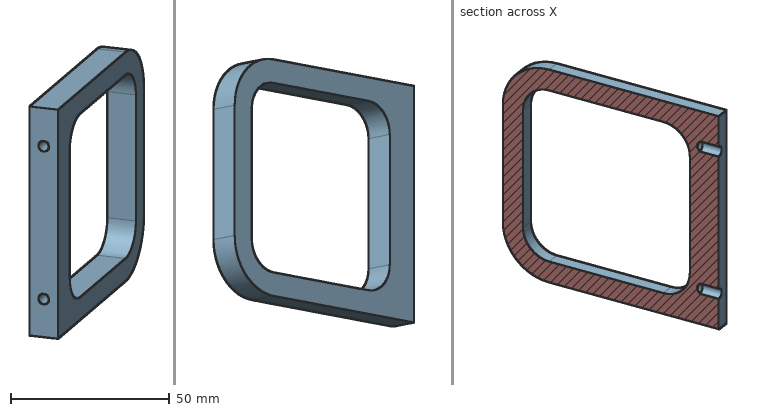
import cadquery as cq
import math

thickness = 9.65
depth = 79.38
height = 76.2
wall = 7.62
window_radius = 9.525
outer_radius = window_radius + wall
window_size = height - 2 * wall
back_y = depth / 2
window_center_y = back_y - wall - window_size / 2

hole_diameter = 3.45
hole_spacing = 50.8
hole_depth = 7.0
taper_angle = 108.0
bottom_flat_diameter = 0.8


def make_plate():
    """Plate with the two back corners rounded."""
    plate = cq.Workplane("XY").box(thickness, depth, height)
    return plate.edges("|X and >Y").fillet(outer_radius)


def make_window():
    """Rounded square opening through the full thickness."""
    window = cq.Workplane("XY").box(2 * thickness, window_size, window_size)
    window = window.edges("|X").fillet(window_radius)
    return window.translate((0, window_center_y, 0))


def make_hole(z):
    """Drilled hole with a tapered, flat-ended bottom, entering the mounting edge at height z."""
    radius = hole_diameter / 2
    flat_radius = bottom_flat_diameter / 2
    taper_length = (radius - flat_radius) / math.tan(math.radians(taper_angle / 2))
    bottom_y = hole_depth + taper_length
    half_profile = (
        cq.Workplane("XY")
        .moveTo(0, 0)
        .lineTo(radius, 0)
        .lineTo(radius, hole_depth)
        .lineTo(flat_radius, bottom_y)
        .lineTo(0, bottom_y)
        .close()
    )
    hole = half_profile.revolve(360, (0, 0, 0), (0, 1, 0))
    return hole.translate((0, -depth / 2, z))


result = make_plate().cut(make_window())
for hole_z in (-hole_spacing / 2, hole_spacing / 2):
    result = result.cut(make_hole(hole_z))